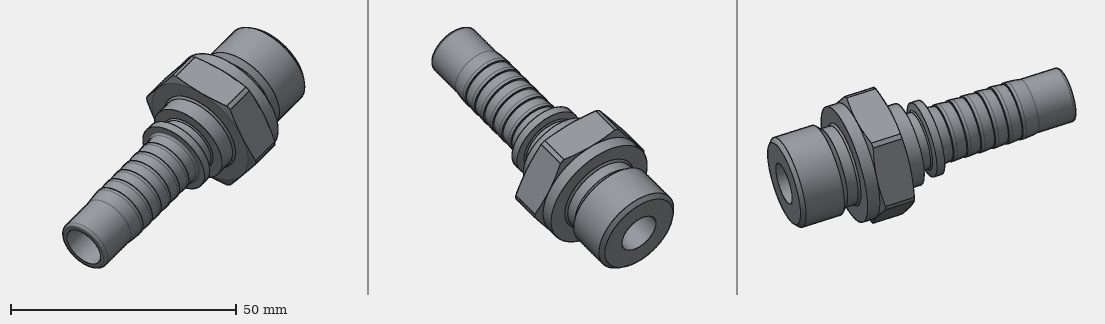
import cadquery as cq
import math

length = 67.8
bore_radius = 9.5 / 2

thread_radius = 20.95 / 2
thread_chamfer = 0.95
thread_end = 10.2
undercut_radius = 18.3 / 2
undercut_start = thread_end + (thread_radius - undercut_radius)
undercut_flare = 0.5

flange_start = 14.5
flange_radius = 26.9 / 2
hex_start = 17.4
hex_end = 25.5
hex_across_flats = 27.0
hex_corner_radius = 30.5 / 2
hex_back_chamfer = 0.6
hex_front_chamfer = 0.5

collar_radius = 19.0 / 2
collar_flare = 0.5
collar_end = 29.75

tail_radius = 13.2 / 2
neck_flare = 0.35
ring_start = 32.8
ring_end = 35.05
ring_radius = 17.3 / 2
ring_face_slope = 0.35
ring_fillet = 0.55

barb_count = 6
barb_pitch = 3.3
first_land = 38.1
land_width = 0.8
barb_drop = 0.3
barb_step = 0.15

tip_radius = 12.5 / 2
tip_start = 58.7
tip_fillet = 0.7


def at(station, radius):
    """Point of the half profile: radius along X, axial position along Y."""
    return (radius, length - station)


def falling_arc(profile, start, end, drop):
    """Arc that leaves the tail diameter tangentially and falls by drop at its end."""
    run = end - start
    bow_radius = (run**2 + drop**2) / (2 * drop)
    middle_drop = bow_radius - math.sqrt(bow_radius**2 - (run / 2) ** 2)
    middle = at(start + run / 2, tail_radius - middle_drop)
    return profile.threePointArc(middle, at(end, tail_radius - drop))


def turned_body():
    profile = cq.Workplane("XY").moveTo(*at(0, 0))
    outline = [
        (0, thread_radius - thread_chamfer),
        (thread_chamfer, thread_radius),
        (thread_end, thread_radius),
        (undercut_start, undercut_radius),
        (flange_start - undercut_flare, undercut_radius),
        (flange_start, undercut_radius + undercut_flare),
        (flange_start, flange_radius),
        (hex_end, flange_radius),
        (hex_end, collar_radius + collar_flare),
        (hex_end + collar_flare, collar_radius),
        (collar_end, collar_radius),
        (collar_end, tail_radius + neck_flare),
        (collar_end + neck_flare, tail_radius),
        (ring_start - neck_flare, tail_radius),
        (ring_start, tail_radius + neck_flare),
        (ring_start + ring_face_slope, ring_radius),
        (ring_end, ring_radius),
        (ring_end, tail_radius + ring_fillet),
    ]
    for station, radius in outline:
        profile = profile.lineTo(*at(station, radius))

    arc_start = ring_end + ring_fillet
    fillet_inset = ring_fillet * (1 - math.sqrt(0.5))
    fillet_middle = at(ring_end + fillet_inset, tail_radius + fillet_inset)
    profile = profile.threePointArc(fillet_middle, at(arc_start, tail_radius))

    for i in range(barb_count):
        land_start = first_land + i * barb_pitch
        profile = falling_arc(profile, arc_start, land_start - barb_step, barb_drop)
        profile = profile.lineTo(*at(land_start, tail_radius))
        arc_start = land_start + land_width
        profile = profile.lineTo(*at(arc_start, tail_radius))

    profile = falling_arc(profile, arc_start, tip_start, tail_radius - tip_radius)
    profile = profile.lineTo(*at(length - tip_fillet, tip_radius))
    tip_inset = tip_fillet * (1 - math.sqrt(0.5))
    profile = profile.threePointArc(
        at(length - tip_inset, tip_radius - tip_inset),
        at(length, tip_radius - tip_fillet),
    )
    profile = profile.lineTo(*at(length, 0)).close()
    return profile.revolve(360, (0, 0, 0), (0, 1, 0))


def hexagon():
    """Hexagon with corners on X, its corners turned down and chamfered on both ends."""
    across_corners = hex_across_flats / math.cos(math.pi / 6)
    prism = (
        cq.Workplane("XZ", origin=(0, length - hex_start, 0))
        .polygon(6, across_corners)
        .extrude(hex_end - hex_start)
    )
    envelope = (
        cq.Workplane("XY")
        .polyline([
            at(hex_start, 0),
            at(hex_start, flange_radius),
            at(hex_start + hex_back_chamfer, hex_corner_radius),
            at(hex_end - hex_front_chamfer, hex_corner_radius),
            at(hex_end, flange_radius),
            at(hex_end, 0),
        ])
        .close()
        .revolve(360, (0, 0, 0), (0, 1, 0))
    )
    return prism.intersect(envelope)


bore = cq.Workplane("XZ", origin=(0, length, 0)).circle(bore_radius).extrude(length)

result = turned_body().union(hexagon()).cut(bore)